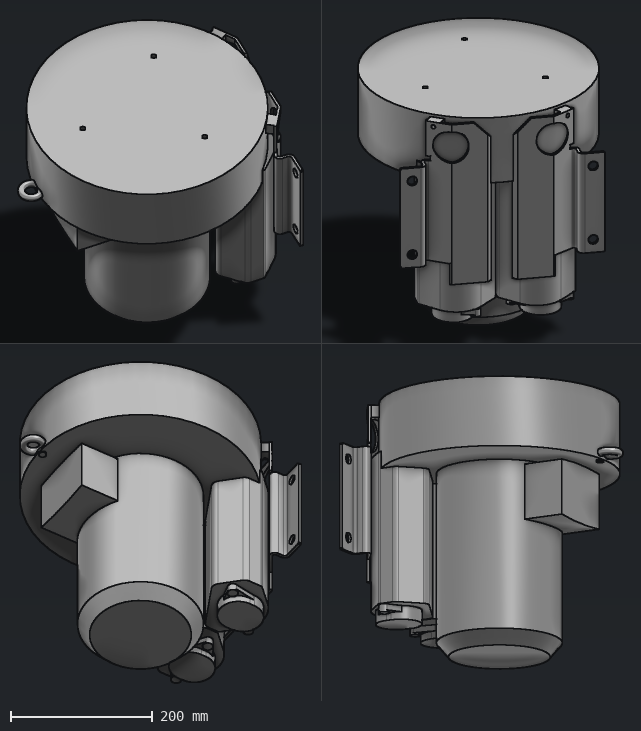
import cadquery as cq
import math


total_height = 366.5
housing_radius = 340.5 / 2
housing_height = 101.0
housing_bottom = total_height - housing_height
motor_radius = 89.0
motor_end_radius = 71.8
motor_taper_height = 20.2

cover_hole_count = 3
cover_hole_circle_radius = 100.0
cover_hole_diameter = 7.5
cover_hole_depth = 15.0

box_width = 105.5
box_front = 132.5
box_edge_height = 80.0
box_crown = 2.5
box_center_z = 220.2

eye_outer_radius = 19.0
eye_wire_radius = 5.2
eye_front = 199.0
eye_z = 274.0
stud_radius = 5.2
stud_length = 2.2
stud_y = -164.0

silencer_bottom = 69.0
silencer_top = 289.8
silencer_center_x = 57.5
silencer_outer_x = 114.0
silencer_front_y = 69.0
silencer_inner_front_y = 107.5
silencer_shoulder_y = 130.5
silencer_lower_shoulder_y = 104.0
silencer_front_round = 11.5
silencer_shoulder_round = 6.0
silencer_crown_round = 42.0

port_x = 63.2
port_y = 127.0
port_radius = 29.5
port_straight = 7.5
port_length = 20.0
flange_thickness = 9.0
lug_distance = 41.0
lug_radius = 7.5
lug_height = 11.5
left_flange_angle = 0.0
right_flange_angle = -48.0

sheet = 4.5
foot_bottom = 146.5
foot_height = 154.5
foot_end_x = 147.5
foot_y = 172.8
web_x = 111.5
web_bend_y = 146.5
foot_bend_round = 6.7
web_bend_round = 6.0
back_bend_x = 73.0
back_y = 171.5
back_lip_start_x = 22.5
back_lip_end_x = 16.5
back_lip_end_y = 166.8
back_bottom = 114.5
back_lower_end_x = 74.8
wall_top = 362.5
wall_bottom = 308.0
wall_end_x = 105.5
relief_end_x = 99.5
wall_corner_cut = 18.7
foot_corner_cut = 2.0
foot_hole_diameter = 14.0
foot_hole_x = 130.0
foot_hole_edge_distance = 20.2
opening_x = 73.0
opening_z = 326.8
opening_radius = 24.3

block_height = 18.0
block_length = 21.5
block_setback = 1.0
block_depth = 22.5
block_screw_diameter = 6.0
block_screw_depth = 15.0
block_screw_z = 355.0


def cylinder(radius, bottom, height, x=0.0, y=0.0):
    return cq.Workplane("XY", origin=(x, y, bottom)).circle(radius).extrude(height)


def mirror_x(solid):
    return solid.mirror("YZ")


def round_upright_edge(solid, x, y, z, radius):
    """Fillet the vertical edge nearest to (x, y, z)."""
    return solid.edges("|Z").edges(cq.selectors.NearestToPointSelector((x, y, z))).fillet(radius)


def make_housing_and_motor():
    profile = [
        (0, 0),
        (motor_end_radius, 0),
        (motor_radius, motor_taper_height),
        (motor_radius, housing_bottom),
        (housing_radius, housing_bottom),
        (housing_radius, total_height),
        (0, total_height),
    ]
    return cq.Workplane("XZ").polyline(profile).close().revolve(360, (0, 0, 0), (0, 1, 0))


def make_cover_holes():
    return (
        cq.Workplane("XY", origin=(0, 0, total_height))
        .polarArray(cover_hole_circle_radius, -90, 360, cover_hole_count)
        .circle(cover_hole_diameter / 2)
        .extrude(-cover_hole_depth)
    )


def make_terminal_box():
    half_width = box_width / 2
    half_edge = box_edge_height / 2
    return (
        cq.Workplane("XZ", origin=(0, 0, box_center_z))
        .moveTo(-half_width, -half_edge)
        .threePointArc((0, -half_edge - box_crown), (half_width, -half_edge))
        .lineTo(half_width, half_edge)
        .threePointArc((0, half_edge + box_crown), (-half_width, half_edge))
        .close()
        .extrude(box_front)
    )


def make_lifting_eye():
    ring_radius = eye_outer_radius - eye_wire_radius
    center_y = eye_outer_radius - eye_front
    ring = cq.Solid.makeTorus(ring_radius, eye_wire_radius, cq.Vector(0, center_y, eye_z))
    stud = cylinder(stud_radius, housing_bottom - stud_length, 2 * stud_length, 0, stud_y)
    return stud.union(cq.Workplane(obj=ring))


def make_silencer_body():
    """Six-sided upright body with rounded corners; its front side slopes back toward the middle."""
    half_width = silencer_outer_x - silencer_center_x
    inner_x = silencer_center_x - half_width
    front_x = silencer_outer_x - (silencer_lower_shoulder_y - silencer_front_y)
    apex_y = silencer_shoulder_y + half_width
    height = silencer_top - silencer_bottom
    corners = [
        (silencer_center_x, apex_y, silencer_crown_round),
        (silencer_outer_x, silencer_shoulder_y, silencer_shoulder_round),
        (silencer_outer_x, silencer_lower_shoulder_y, silencer_front_round),
        (front_x, silencer_front_y, silencer_front_round),
        (inner_x, silencer_inner_front_y, silencer_front_round),
        (inner_x, silencer_shoulder_y, silencer_shoulder_round),
    ]
    outline = [(x, y) for x, y, _ in corners]
    body = cq.Workplane("XY").polyline(outline).close().extrude(height)
    for x, y, radius in corners:
        body = round_upright_edge(body, x, y, height / 2, radius)
    return body.translate((0, 0, silencer_bottom))


def make_flange():
    """Diamond flange: two lugs joined to the middle by straight tangent sides."""
    tangent_angle = math.acos((port_radius - lug_radius) / lug_distance)
    tangent_x = math.cos(tangent_angle)
    tangent_y = math.sin(tangent_angle)
    plate = cylinder(port_radius, -flange_thickness, flange_thickness)
    outline = []
    for side_x, side_y in ((1, 1), (-1, 1), (-1, -1), (1, -1)):
        lug_point = (
            side_x * (lug_distance + lug_radius * tangent_x),
            side_y * lug_radius * tangent_y,
        )
        middle_point = (side_x * port_radius * tangent_x, side_y * port_radius * tangent_y)
        outline += [lug_point, middle_point] if side_x == side_y else [middle_point, lug_point]
    plate = plate.union(
        cq.Workplane("XY").polyline(outline).close().extrude(-flange_thickness)
    )
    for side in (1, -1):
        plate = plate.union(cylinder(lug_radius, -lug_height, lug_height, side * lug_distance))
    return plate


def make_port(flange_angle):
    outlet = (
        cq.Workplane("XY")
        .slot2D(2 * port_radius + port_straight, 2 * port_radius, 90)
        .extrude(-port_length)
    )
    flange = make_flange().rotate((0, 0, 0), (0, 0, 1), flange_angle)
    return outlet.union(flange)


def make_silencers():
    right_body = make_silencer_body()
    right_port = make_port(right_flange_angle).translate((port_x, port_y, silencer_bottom))
    left_port = make_port(left_flange_angle).translate((-port_x, port_y, silencer_bottom))
    return right_body.union(right_port).union(mirror_x(right_body)).union(left_port)


def offset_side(centerline, distance):
    """Shift a polyline sideways (to its left) by distance, with mitered corners."""
    directions = []
    for start, end in zip(centerline, centerline[1:]):
        length = math.dist(start, end)
        directions.append(((end[0] - start[0]) / length, (end[1] - start[1]) / length))
    shifted = []
    for i, (x, y) in enumerate(centerline):
        before = directions[max(i - 1, 0)]
        after = directions[min(i, len(directions) - 1)]
        miter = 1 + before[0] * after[0] + before[1] * after[1]
        shifted.append((
            x - distance * (before[1] + after[1]) / miter,
            y + distance * (before[0] + after[0]) / miter,
        ))
    return shifted


def bent_sheet(centerline, bottom, top, bend_rounds=()):
    """Upright sheet along a centerline; bend_rounds holds (corner index, inner radius)."""
    left = offset_side(centerline, sheet / 2)
    right = offset_side(centerline, -sheet / 2)
    height = top - bottom
    body = cq.Workplane("XY").polyline(left + right[::-1]).close().extrude(height)
    for index, inner_round in bend_rounds:
        before, corner, after = centerline[index - 1:index + 2]
        turn = (corner[0] - before[0]) * (after[1] - corner[1])
        turn -= (corner[1] - before[1]) * (after[0] - corner[0])
        inner, outer = (left, right) if turn > 0 else (right, left)
        body = round_upright_edge(body, *inner[index], height / 2, inner_round)
        body = round_upright_edge(body, *outer[index], height / 2, inner_round + sheet)
    return body.translate((0, 0, bottom))


web_slope = (back_y - web_bend_y) / (web_x - back_bend_x)
web_angle = math.degrees(math.atan(web_slope))


def web_point(x):
    """Point on the centerline of the sloping web."""
    return (x, back_y - web_slope * (x - back_bend_x))


def make_block():
    """Block under the web, with a screw hole through the sheet into it."""
    block = (
        cq.Workplane("XY")
        .box(block_length, block_depth, block_height, centered=(False, False, False))
        .translate((-block_setback - block_length, -block_depth, wall_top - block_height))
    )
    hole = (
        cq.Workplane("XZ", origin=(-block_setback - block_length / 2, sheet, block_screw_z))
        .circle(block_screw_diameter / 2)
        .extrude(block_screw_depth)
    )
    place = (*web_point(wall_end_x), 0)

    def locate(solid):
        return solid.rotate((0, 0, 0), (0, 0, 1), -web_angle).translate(place)

    return locate(block), locate(hole)


def make_bracket():
    foot_top = foot_bottom + foot_height
    back = [(back_bend_x, back_y), (back_lip_start_x, back_y), (back_lip_end_x, back_lip_end_y)]
    foot_line = [(foot_end_x, foot_y), (web_x, foot_y), (web_x, web_bend_y)] + back
    foot_bends = [(1, foot_bend_round - sheet / 2), (2, web_bend_round - sheet / 2)]

    bracket = bent_sheet(foot_line, foot_bottom, foot_top, foot_bends)
    bracket = bracket.faces(">X").edges("|Y").chamfer(foot_corner_cut)
    wall = bent_sheet([web_point(wall_end_x)] + back, wall_bottom, wall_top)
    relief = bent_sheet([web_point(relief_end_x)] + back, foot_top, wall_bottom)
    lower_back = bent_sheet([web_point(back_lower_end_x)] + back, back_bottom, foot_bottom)
    block, screw_hole = make_block()
    bracket = bracket.union(relief).union(wall).union(lower_back).union(block)

    foot_holes = (
        cq.Workplane("XZ", origin=(foot_hole_x, foot_y + sheet, (foot_bottom + foot_top) / 2))
        .rarray(3.7, foot_height - 2 * foot_hole_edge_distance, 1, 2)
        .circle(foot_hole_diameter / 2)
        .extrude(2 * sheet)
    )
    opening = (
        cq.Workplane("XZ", origin=(opening_x, foot_y + sheet, opening_z))
        .circle(opening_radius)
        .extrude(foot_y - web_bend_y)
    )
    corner_cut_end_x = back_lip_start_x + wall_corner_cut
    corner_cut = (
        cq.Workplane("XZ", origin=(0, foot_y + sheet, wall_top))
        .polyline([(corner_cut_end_x, 0), (0, 0), (0, -corner_cut_end_x)])
        .close()
        .extrude(foot_y - web_bend_y)
    )
    return bracket.cut(foot_holes).cut(opening).cut(corner_cut).cut(screw_hole)


right_bracket = make_bracket()
result = (
    make_housing_and_motor()
    .union(make_terminal_box())
    .union(make_lifting_eye())
    .union(make_silencers())
    .union(right_bracket)
    .union(mirror_x(right_bracket))
    .cut(make_cover_holes())
)